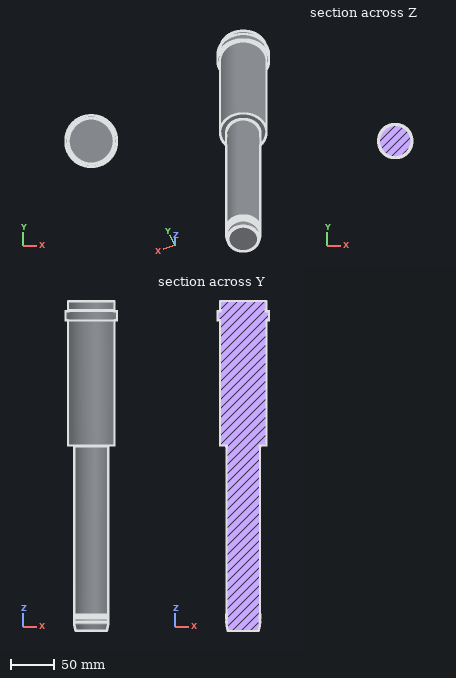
import cadquery as cq

height = 383.0
flange_diameter = 60.0
body_diameter = 54.0
stem_diameter = 40.0

body_bottom = 215.2
flange_thickness = 10.7
head_height = 12.0
flange_top = height - head_height
flange_bottom = flange_top - flange_thickness

relief_width = 1.0
relief_depth = 0.8

end_bevel = 0.8

taper_height = 8.0
tip_diameter = 36.5

ring_groove_levels = (10.7, 15.5, 18.8)
ring_groove_width = 1.0
ring_groove_depth = 0.8


def cylinder(diameter, bottom, top):
    """Solid cylinder on the Z axis between two levels."""
    return cq.Workplane("XY").workplane(offset=bottom).circle(diameter / 2).extrude(top - bottom)


def groove(diameter, depth, bottom, width):
    """Ring that cuts a rectangular groove into a shaft of the given diameter."""
    return (
        cq.Workplane("XY")
        .workplane(offset=bottom)
        .circle(diameter / 2 + depth)
        .circle(diameter / 2 - depth)
        .extrude(width)
    )


def make_stem():
    """Long thin shaft with a tapered tip and ring grooves."""
    tip = (
        cq.Workplane("XY")
        .circle(tip_diameter / 2)
        .workplane(offset=taper_height)
        .circle(stem_diameter / 2)
        .loft(ruled=True)
    )
    stem = tip.union(cylinder(stem_diameter, taper_height, body_bottom))
    for level in ring_groove_levels:
        bottom = level - ring_groove_width / 2
        stem = stem.cut(groove(stem_diameter, ring_groove_depth, bottom, ring_groove_width))
    stem = stem.cut(groove(stem_diameter, relief_depth, body_bottom - relief_width, relief_width))
    return stem.faces("<Z").chamfer(end_bevel)


def make_body():
    """Thick upper body with its flange and the relieved head."""
    body = cylinder(body_diameter, body_bottom, height).faces(">Z").chamfer(end_bevel)
    body = body.cut(groove(body_diameter, relief_depth, flange_top, relief_width))
    return body.union(cylinder(flange_diameter, flange_bottom, flange_top))


result = make_stem().union(make_body())